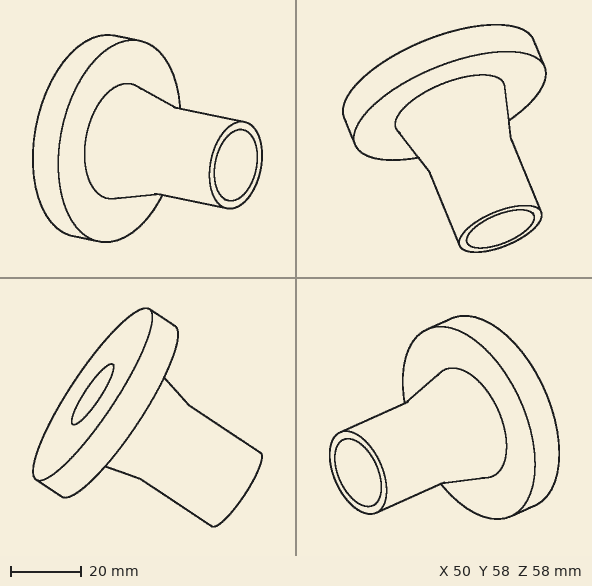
import cadquery as cq

total_length = 50.0
flange_diameter = 58.0
flange_thickness = 9.0
neck_base_diameter = 33.05
neck_end = 25.0
tube_diameter = 25.0
bore_diameter = 20.4

flange_radius = flange_diameter / 2
neck_base_radius = neck_base_diameter / 2
tube_radius = tube_diameter / 2
bore_radius = bore_diameter / 2

section = (
    cq.Workplane("XY")
    .moveTo(0, bore_radius)
    .lineTo(0, flange_radius)
    .lineTo(flange_thickness, flange_radius)
    .lineTo(flange_thickness, neck_base_radius)
    .lineTo(neck_end, tube_radius)
    .lineTo(total_length, tube_radius)
    .lineTo(total_length, bore_radius)
    .close()
)

result = section.revolve(360, (0, 0, 0), (1, 0, 0))